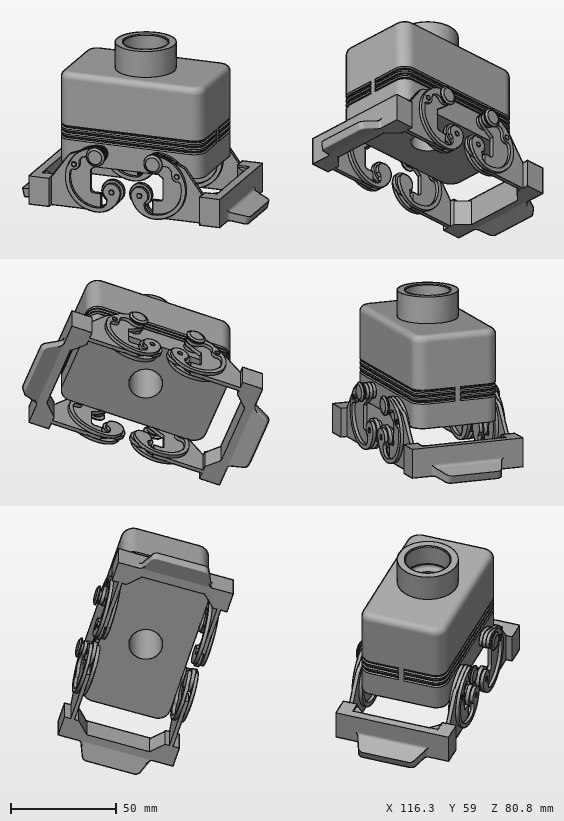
import cadquery as cq
import math


overall_length = 116.3
overall_width = 59.0

hood_length = 73.3
hood_width = 43.3
hood_height = 45.1
corner_radius = 6.0
top_fillet = 3.1

neck_top = 58.2
neck_radius = 14.5
bore_radius = 10.7
bore_chamfer = 0.5
bore_depth = 10.6
relief_radius = 11.2
relief_fillet = 1.3
passage_radius = 8.0

groove_centre_z = 15.5
groove_pitch = 2.6
groove_count = 3
groove_width = 1.7
groove_floor = 0.6
groove_depth = 0.7
groove_gap = 2.9

cover_inner_y = 21.9
plate_inner_y = 23.6
plate_outer_y = 25.5
cover_outer_y = 27.1

pin_x = -14.7
pin_z = 7.5
pin_radius = 2.7
pin_head_radius = 4.7
pin_head_face_radius = 3.5
pin_head_y = 28.4
pin_head_bevel = 0.7
pin_end_y = overall_width / 2
pin_embed = 1.2

ring_outer_radius = 15.9
ring_inner_radius = 13.8
ring_z = -4.8
roller_x = pin_x + 7.6
roller_z = ring_z - 5.1
roller_radius = 5.6
hub_radius = 4.3
rivet_x = pin_x - 11.5
rivet_z = ring_z + 6.7
rivet_boss_radius = 2.6
rivet_radius = 1.3
rivet_height = 0.2
rivet_bevel = 0.17
boss_blend_radius = 1.7
upper_notch_radius = 3.4
throat_radius = 4.1
throat_angle = -84.0
throat_rise = 1.2
hub_neck_angle = 203.0

beam_outer_x = -48.6
beam_inner_x = -44.4
leg_end_x = -38.4
beam_half_width = 28.6
leg_inner_y = 21.5
beam_top = -6.2
beam_bottom = -20.4
gusset_size = 5.9
gusset_drop = 0.9

plate_end_radius = 4.1
plate_shoulder = (-29.3, 6.2)
plate_shoulder_fillet = 4.7
slot_x = -18.5
slot_top = -0.3
slot_bottom = -11.9
slot_fillet = 1.7
plate_foot_x = -13.3

handle_tilt = 15.7
handle_thickness = 4.2
handle_reach = overall_length / 2 + beam_outer_x
handle_root_half_width = 17.5
handle_side_angle = 23.0
handle_corner_fillet = 2.9
handle_lower_fillet = 0.6
handle_root_fillet = 1.6
handle_embed = 1.7


def on_circle(centre, radius, degrees):
    """Point on a circle at an angle in degrees."""
    angle = math.radians(degrees)
    return (centre[0] + radius * math.cos(angle), centre[1] + radius * math.sin(angle))


def direction(start, end):
    """Angle in degrees of the line from start to end."""
    return math.degrees(math.atan2(end[1] - start[1], end[0] - start[0]))


def tangent_point(point, centre, radius, side):
    """Touch point of a line from point to a circle; side is +1 or -1."""
    reach = math.dist(point, centre)
    opening = math.degrees(math.acos(radius / reach))
    return on_circle(centre, radius, direction(centre, point) + side * opening)


def arc(sketch, centre, radius, start, end):
    """Add an arc from angle start to angle end, in degrees."""
    middle = on_circle(centre, radius, (start + end) / 2)
    return sketch.threePointArc(middle, on_circle(centre, radius, end))


def side_layer(inner_y):
    """Sketch plane in X and Z on the -Y side; positive extrusion goes outwards."""
    return cq.Workplane("XZ", origin=(0, -inner_y, 0))


def side_disc(x, z, radius, inner_y, outer_y):
    return side_layer(inner_y).center(x, z).circle(radius).extrude(outer_y - inner_y)


def mirrored(shape, plane):
    """The shape together with its mirror image."""
    return shape.union(shape.mirror(plane))


def rounded_block(base_z, height, taper=0.0):
    outline = cq.Sketch().rect(hood_length, hood_width).vertices().fillet(corner_radius)
    return cq.Workplane("XY", origin=(0, 0, base_z)).placeSketch(outline).extrude(height, taper=taper)


def groove_cutter(z):
    """Ring of trapezoidal section: a full band less its waisted core."""
    flank_height = (groove_width - groove_floor) / 2
    flank_angle = math.degrees(math.atan(groove_depth / flank_height))
    bottom = z - groove_width / 2
    lower = rounded_block(bottom, flank_height, flank_angle)
    upper = lower.mirror("XY", (0, 0, z))
    floor = lower.faces(">Z").wires().toPending().extrude(groove_floor, combine=False)
    band = rounded_block(bottom, groove_width)
    gap = cq.Workplane("XY").box(2 * hood_length, groove_gap, 2 * hood_height)
    return band.cut(lower).cut(floor).cut(upper).cut(gap)


def make_hood():
    hood = rounded_block(0, hood_height).faces(">Z").edges().fillet(top_fillet)
    for index in range(groove_count):
        offset = (index - (groove_count - 1) / 2) * groove_pitch
        hood = hood.cut(groove_cutter(groove_centre_z + offset))
    neck_base = hood_height - top_fillet
    neck = cq.Workplane("XY", origin=(0, 0, neck_base)).circle(neck_radius).extrude(neck_top - neck_base)
    bore = (
        cq.Workplane("XZ")
        .moveTo(0, 0)
        .lineTo(passage_radius, 0)
        .lineTo(passage_radius, hood_height)
        .lineTo(relief_radius - relief_fillet, hood_height)
        .radiusArc((relief_radius, hood_height + relief_fillet), -relief_fillet)
        .lineTo(relief_radius, neck_top - bore_depth)
        .lineTo(bore_radius, neck_top - bore_depth)
        .lineTo(bore_radius, neck_top - bore_chamfer)
        .lineTo(bore_radius + bore_chamfer, neck_top)
        .lineTo(0, neck_top)
        .close()
        .revolve(360, (0, 0, 0), (0, 1, 0))
    )
    return hood.union(neck).cut(bore)


def make_pin():
    shaft = side_disc(pin_x, pin_z, pin_radius, hood_width / 2 - pin_embed, pin_head_y)
    head = side_disc(pin_x, pin_z, pin_head_radius, pin_head_y, pin_end_y)
    head = head.faces("<Y").chamfer(pin_head_bevel, pin_head_radius - pin_head_face_radius)
    return shaft.union(head)


def make_cover(inner_y, outer_y):
    ring = (pin_x, ring_z)
    pin = (pin_x, pin_z)
    roller = (roller_x, roller_z)
    rivet = (rivet_x, rivet_z)

    end_radius = ring_z + ring_outer_radius - pin_z

    ring_bottom = ring_z - ring_outer_radius
    hub_rise = roller_z - ring_bottom
    swing_radius = ((roller_x - pin_x) ** 2 + hub_rise**2 - hub_radius**2) / (2 * (hub_rise - hub_radius))
    swing = (pin_x, ring_bottom + swing_radius)
    hub_start = direction(swing, roller)

    throat = on_circle(ring, ring_inner_radius - throat_radius, throat_angle)
    throat_side = on_circle(throat, throat_radius, 0)

    blend_reach = ring_inner_radius - boss_blend_radius
    boss_reach = math.dist(ring, rivet)
    gap = boss_blend_radius + rivet_boss_radius
    cosine = (blend_reach**2 + boss_reach**2 - gap**2) / (2 * blend_reach * boss_reach)
    blend_angle = direction(ring, rivet) + math.degrees(math.acos(cosine))
    blend = on_circle(ring, blend_reach, blend_angle)

    notch_x = rivet_x + rivet_boss_radius + upper_notch_radius
    notch_drop = math.sqrt((upper_notch_radius + end_radius) ** 2 - (pin_x - notch_x) ** 2)
    notch = (notch_x, pin_z - notch_drop)
    notch_end = direction(notch, pin)

    outline = side_layer(inner_y).moveTo(*on_circle(ring, ring_outer_radius, 90))
    outline = arc(outline, ring, ring_outer_radius, 90, 270)
    outline = arc(outline, swing, swing_radius, -90, hub_start)
    outline = arc(outline, roller, hub_radius, hub_start, hub_neck_angle)
    outline = outline.lineTo(throat_side[0], throat_side[1] + throat_rise).lineTo(*throat_side)
    outline = arc(outline, throat, throat_radius, 0, throat_angle)
    outline = arc(outline, ring, ring_inner_radius, throat_angle, blend_angle - 360)
    outline = arc(outline, blend, boss_blend_radius, blend_angle, direction(blend, rivet))
    outline = arc(outline, rivet, rivet_boss_radius, direction(rivet, blend), 0)
    outline = outline.lineTo(*on_circle(notch, upper_notch_radius, 180))
    outline = arc(outline, notch, upper_notch_radius, 180, notch_end)
    outline = arc(outline, pin, end_radius, notch_end - 180, 90)
    return outline.close().extrude(outer_y - inner_y)


def make_hinge():
    hinge = make_pin()
    hinge = hinge.union(make_cover(cover_inner_y, plate_inner_y))
    hinge = hinge.union(make_cover(plate_outer_y, cover_outer_y))
    hinge = hinge.union(side_disc(roller_x, roller_z, roller_radius, plate_inner_y, plate_outer_y))
    for x, z in ((roller_x, roller_z), (rivet_x, rivet_z)):
        rivet = side_disc(x, z, rivet_radius, cover_outer_y, cover_outer_y + rivet_height)
        hinge = hinge.union(rivet.faces("<Y").chamfer(rivet_bevel))
    return hinge


def make_side_plate():
    pin = (pin_x, pin_z)
    upper_touch = tangent_point(plate_shoulder, pin, plate_end_radius, -1)
    lower_touch = tangent_point((slot_x, slot_top), pin, plate_end_radius, 1)
    plate = (
        side_layer(plate_inner_y)
        .moveTo(leg_end_x, beam_bottom)
        .lineTo(leg_end_x, beam_top)
        .lineTo(*plate_shoulder)
        .lineTo(*upper_touch)
        .threePointArc(on_circle(pin, plate_end_radius, 0), lower_touch)
        .lineTo(slot_x, slot_top)
        .lineTo(slot_x, slot_bottom)
        .lineTo(plate_foot_x, slot_bottom)
        .lineTo(plate_foot_x, beam_bottom)
        .close()
        .extrude(plate_outer_y - plate_inner_y)
    )
    middle_y = -(plate_inner_y + plate_outer_y) / 2
    shoulder = cq.NearestToPointSelector((plate_shoulder[0], middle_y, plate_shoulder[1]))
    slot_corner = cq.NearestToPointSelector((slot_x, middle_y, slot_bottom))
    plate = plate.edges(shoulder).fillet(plate_shoulder_fillet)
    return plate.edges(slot_corner).fillet(slot_fillet)


def make_beam():
    height = beam_top - beam_bottom
    base = cq.Workplane("XY", origin=(0, 0, beam_bottom))
    half = (
        base.moveTo(beam_outer_x, 0)
        .lineTo(beam_outer_x, -beam_half_width)
        .lineTo(leg_end_x, -beam_half_width)
        .lineTo(leg_end_x, -leg_inner_y)
        .lineTo(beam_inner_x, -leg_inner_y)
        .lineTo(beam_inner_x, 0)
        .close()
        .extrude(height)
    )
    gusset = (
        base.moveTo(beam_inner_x, -leg_inner_y)
        .lineTo(leg_end_x, -leg_inner_y)
        .lineTo(beam_inner_x, gusset_size - leg_inner_y)
        .close()
        .extrude(height - gusset_drop)
    )
    return mirrored(half.union(gusset), "XZ")


def make_handle():
    """Tilted slab between upright tapering sides, its inner end sunk into the beam."""
    tilt = math.radians(handle_tilt)
    length = (handle_reach - handle_thickness * math.sin(tilt)) / math.cos(tilt)
    slab = (
        cq.Workplane("XY")
        .moveTo((handle_embed - length) / 2, 0)
        .rect(length + handle_embed, 3 * handle_root_half_width)
        .extrude(handle_thickness)
        .rotate((0, 0, 0), (0, 1, 0), -handle_tilt)
        .translate((beam_outer_x, 0, beam_bottom))
    )
    slope = math.tan(math.radians(handle_side_angle))
    tip = handle_root_half_width - handle_reach * slope
    root = handle_root_half_width + handle_embed * slope
    tip_x = beam_outer_x - handle_reach
    root_x = beam_outer_x + handle_embed
    planform = (
        cq.Workplane("XY", origin=(0, 0, beam_bottom))
        .polyline([(root_x, -root), (tip_x, -tip), (tip_x, tip), (root_x, root)])
        .close()
        .extrude(beam_top - beam_bottom, both=True)
    )
    tab = slab.intersect(planform)
    tab = tab.faces("<X").edges("not |Y").fillet(handle_corner_fillet)
    return tab.faces("<Z").edges("not >X").fillet(handle_lower_fillet)


def make_beam_and_handle():
    """The root fillet runs around the whole tab on a deepened beam; the excess below is trimmed."""
    margin = 0.6
    deepening = 4 * handle_root_fillet
    extension = (
        cq.Workplane("XY", origin=(0, 0, beam_bottom - deepening))
        .moveTo((beam_outer_x + beam_inner_x) / 2, 0)
        .rect(beam_inner_x - beam_outer_x, 2 * beam_half_width)
        .extrude(deepening)
    )
    body = make_beam().union(extension).union(make_handle()).clean()
    root_edges = cq.selectors.BoxSelector(
        (beam_outer_x - margin, -handle_root_half_width - margin, beam_bottom - margin),
        (beam_outer_x + margin, handle_root_half_width + margin, beam_top - margin),
    )
    body = body.edges(root_edges).fillet(handle_root_fillet)
    drop = handle_reach * math.tan(math.radians(handle_tilt))
    trim = (
        cq.Workplane("XZ")
        .moveTo(beam_outer_x, beam_bottom)
        .lineTo(beam_outer_x - handle_reach, beam_bottom - drop)
        .lineTo(beam_outer_x - handle_reach, beam_bottom - 2 * deepening)
        .lineTo(leg_end_x, beam_bottom - 2 * deepening)
        .lineTo(leg_end_x, beam_bottom)
        .close()
        .extrude(beam_half_width, both=True)
    )
    return body.cut(trim)


def make_lever():
    return make_beam_and_handle().union(mirrored(make_side_plate().union(make_hinge()), "XZ"))


result = make_hood().union(mirrored(make_lever(), "YZ"))